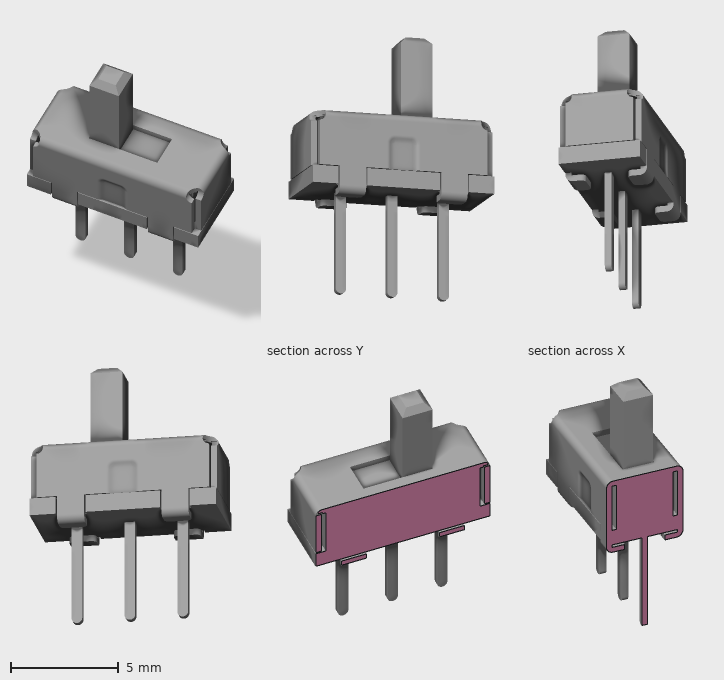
import cadquery as cq
import math


length = 8.8
width = 3.9
case_top = 3.5
base_height = 0.82

sheet = 0.3
bend_radius = 0.35
assembly_gap = 0.04
corner_notch = sheet + assembly_gap
wall_relief_radius = 0.3
roof_relief_radius = corner_notch + wall_relief_radius
relief_depth = 0.22
wall_bottom = base_height + assembly_gap

tab_x = 2.46
tab_width = 1.28
tab_side_gap = 0.06
tab_reach = 0.93
tab_bottom = -0.4
tab_tip_radius = 0.23

dimple_width = 1.6
dimple_top = 2.48
dimple_depth = 0.1
dimple_corner_radius = 0.4
dimple_mid_radius = 0.26
dimple_floor_radius = 0.07

core_inset = 0.5

slot_length = 3.5
slot_width = 1.6
knob_length = 1.51
knob_width = 1.51
knob_top = 7.5
knob_chamfer = 0.31

pin_pitch = 2.5
pin_width = 0.5
pin_thickness = 0.32
pin_bottom = -4.8

SIDES = (-1, 1)


def block(x_size, y_size, z_low, z_high, x=0, y=0):
    """Upright box centred on (x, y)."""
    box = cq.Workplane("XY").box(x_size, y_size, z_high - z_low, centered=(True, True, False))
    return box.translate((x, y, z_low))


def make_base():
    """Base plate with a recess for each case tab."""
    base = block(length, width, 0, base_height)
    recess_width = tab_width + 2 * tab_side_gap
    for x_side in SIDES:
        for y_side in SIDES:
            recess_y = y_side * (width - sheet) / 2
            base = base.cut(block(recess_width, sheet, 0, base_height, x_side * tab_x, recess_y))
    return base


def make_tab():
    """L-shaped tab on the -Y wall, folded inward below the base, centred on X = 0."""
    tab_height = wall_bottom - tab_bottom
    tab = (
        cq.Workplane("YZ")
        .moveTo(-width / 2, wall_bottom)
        .vLine(-tab_height)
        .hLine(tab_reach)
        .vLine(sheet)
        .hLine(sheet - tab_reach)
        .vLineTo(wall_bottom)
        .close()
        .extrude(tab_width / 2, both=True)
    )
    tab = tab.edges("|X and <Y and <Z").fillet(bend_radius)
    return tab.edges("|Z and >Y").fillet(tab_tip_radius)


def make_corner_relief():
    """Cutter that opens the case corner at -X, -Y.

    A square notch parts the two walls, half a round hole ends each wall below the bend,
    and a larger round hole about the outer corner opens the bends and the roof.
    """
    x = -length / 2
    y = -width / 2
    inner_x = x + corner_notch
    inner_y = y + corner_notch
    relief_z = case_top - relief_depth
    notch_centre = corner_notch / 2
    column = block(corner_notch, corner_notch, 0, case_top, x + notch_centre, y + notch_centre)
    end_wall_hole = (
        cq.Workplane("YZ", origin=(x, inner_y, relief_z)).circle(wall_relief_radius).extrude(corner_notch)
    )
    long_wall_hole = (
        cq.Workplane("XZ", origin=(inner_x, y, relief_z)).circle(wall_relief_radius).extrude(-corner_notch)
    )
    wall_holes = end_wall_hole.union(long_wall_hole).intersect(block(length, width, 0, relief_z))
    roof_hole = (
        cq.Workplane("XY", origin=(x, y, relief_z)).circle(roof_relief_radius).extrude(relief_depth)
    )
    roof_hole_inside = (
        cq.Workplane("XY", origin=(x, y, case_top - sheet)).circle(roof_relief_radius).extrude(sheet)
    )
    inside = block(length - 2 * sheet, width - 2 * sheet, 0, case_top)
    roof_hole = roof_hole.union(roof_hole_inside.intersect(inside))
    return column.union(wall_holes).union(roof_hole)


def dimple_half_section(plane):
    """Half of the dimple section, from its centre out to the rim.

    The flat floor meets the wall face through two tangent arcs of equal angle.
    Local x runs outward and local y runs into the wall.
    """
    outer_span = dimple_corner_radius - dimple_mid_radius
    inner_span = dimple_mid_radius - dimple_floor_radius
    bend_angle = 2 * math.atan(dimple_depth / (outer_span + inner_span))
    mid_depth = outer_span * math.tan(bend_angle / 2)
    return (
        plane.vLineTo(dimple_depth)
        .hLineTo(dimple_floor_radius)
        .tangentArcPoint((dimple_mid_radius, mid_depth), relative=False)
        .tangentArcPoint((dimple_corner_radius, 0), relative=False)
        .close()
    )


def make_dimple():
    """Cutter for the arch-shaped dimple in the -Y wall, open at its lower end."""
    face_y = -width / 2
    centre_x = dimple_width / 2 - dimple_corner_radius
    centre_z = dimple_top - dimple_corner_radius
    middle = block(2 * centre_x, dimple_depth, wall_bottom, centre_z, 0, face_y + dimple_depth / 2)

    corner_plane = cq.Workplane("XY", origin=(centre_x, face_y, centre_z))
    corner = dimple_half_section(corner_plane).revolve(360, (0, 0), (0, 1))
    jamb = dimple_half_section(corner_plane).extrude(wall_bottom - centre_z)
    side = corner.union(jamb)

    head_plane = cq.Plane(origin=(centre_x, face_y, centre_z), xDir=(0, 0, 1), normal=(-1, 0, 0))
    head = dimple_half_section(cq.Workplane(head_plane)).extrude(2 * centre_x)
    return middle.union(head).union(side).union(side.mirror("YZ"))


def make_case():
    """Folded cover with open corners, dimples, a slider slot and four tabs."""
    case = block(length, width, wall_bottom, case_top)
    case = case.edges(">Z").fillet(bend_radius)
    case = case.cut(block(length - 2 * sheet, width - 2 * sheet, wall_bottom, case_top - sheet))
    case = case.cut(block(slot_length, slot_width, case_top - sheet, case_top))

    relief = make_corner_relief()
    reliefs = relief.union(relief.mirror("YZ"))
    case = case.cut(reliefs).cut(reliefs.mirror("XZ"))

    dimple = make_dimple()
    case = case.cut(dimple).cut(dimple.mirror("XZ"))

    for x_side in SIDES:
        tab = make_tab().translate((x_side * tab_x, 0, 0))
        case = case.union(tab).union(tab.mirror("XZ"))
    return case


def make_core():
    """Solid block that fills the case between the base and the roof, clear of the walls."""
    return block(length - 2 * core_inset, width - 2 * core_inset, base_height, case_top - sheet)


def make_knob():
    """Slider knob at the -X end of its slot."""
    knob_x = (knob_length - slot_length) / 2
    knob = block(knob_length, knob_width, case_top - sheet, knob_top, knob_x)
    return knob.faces(">Z").chamfer(knob_chamfer)


def make_pin(x):
    """Flat terminal with a fully rounded tip."""
    tip_radius = pin_width / 2
    shank_bottom = pin_bottom + tip_radius
    shank = block(pin_width, pin_thickness, shank_bottom, base_height, x)
    tip = (
        cq.Workplane("XZ", origin=(x, 0, shank_bottom))
        .circle(tip_radius)
        .extrude(pin_thickness / 2, both=True)
    )
    return shank.union(tip)


result = make_base().union(make_case()).union(make_core()).union(make_knob())
for pin_index in (-1, 0, 1):
    result = result.union(make_pin(pin_index * pin_pitch))